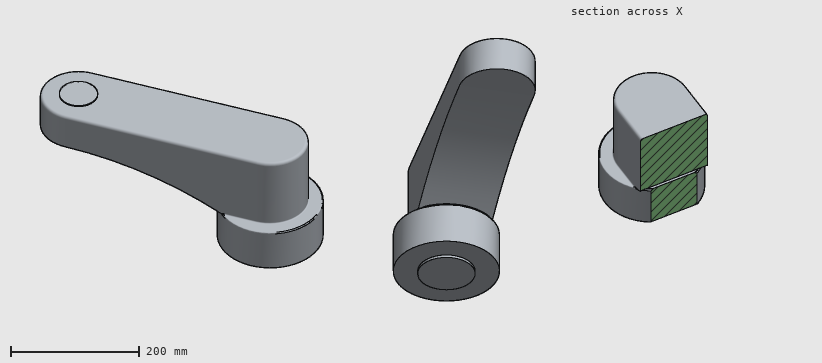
import cadquery as cq
import math

flange_diameter = 166.0
flange_height = 70.5
flange_edge_radius = 2.0
spigot_diameter = 90.0
spigot_height = 4.5

arm_width = 120.0
arm_root_height = arm_width
arm_end_height = arm_root_height / 2
arm_edge_radius = 5.0
underside_radius = 600.0
root_fillet_radius = 2.0

cap_diameter = 60.0
cap_height = 2.0

overall_length = 463.0
axis_distance = overall_length - (arm_width + flange_diameter) / 2
arm_underside = arm_root_height - arm_end_height
sweep_run = math.sqrt(underside_radius**2 - (underside_radius - arm_underside) ** 2)


def disc(x, bottom, diameter, height):
    """Upright disc centred on the arm's centre line."""
    return cq.Workplane("XY", origin=(x, 0, bottom)).circle(diameter / 2).extrude(height)


def round_ended_bar(height):
    """Bar with the arm's full outline, standing on the flange top."""
    outline = cq.Workplane("XY").center(-axis_distance / 2, 0)
    return outline.slot2D(axis_distance + arm_width, arm_width).extrude(height)


def make_arm():
    """Round-ended bar with its underside swept down to the flange."""
    bar = round_ended_bar(arm_root_height)
    bar = bar.faces(">Z").edges().fillet(arm_edge_radius)

    half_angle = math.asin(sweep_run / underside_radius) / 2
    arc_middle = (
        -axis_distance + underside_radius * math.sin(half_angle),
        arm_underside - underside_radius * (1 - math.cos(half_angle)),
    )
    clear_of_end = -axis_distance - arm_width
    below_arm = (
        cq.Workplane("XZ")
        .moveTo(clear_of_end, arm_underside)
        .lineTo(-axis_distance, arm_underside)
        .threePointArc(arc_middle, (-axis_distance + sweep_run, 0))
        .lineTo(clear_of_end, 0)
        .close()
        .extrude(arm_width, both=True)
    )
    return bar.cut(below_arm)


def make_flange():
    """Base disc with a rounded top edge and a shallow spigot beneath it."""
    base = disc(0, -flange_height, flange_diameter, flange_height)
    base = base.faces(">Z").edges().fillet(flange_edge_radius)
    spigot = disc(0, -flange_height - spigot_height, spigot_diameter, spigot_height)
    return base.union(spigot)


def make_root_blend():
    """Concave fillet at the foot of the arm's walls, kept to the flat top of the flange."""
    bar = round_ended_bar(arm_end_height)
    plate_size = 3 * overall_length
    plate = cq.Workplane("XY").box(plate_size, plate_size, flange_height)
    plate = plate.translate((0, 0, -flange_height / 2))
    foot = cq.selectors.BoxSelector(
        (-overall_length, -arm_width, -root_fillet_radius),
        (overall_length, arm_width, root_fillet_radius),
    )
    blend = plate.union(bar).edges(foot).fillet(root_fillet_radius)
    flat_diameter = flange_diameter - 2 * flange_edge_radius
    return blend.intersect(disc(0, 0, flat_diameter, root_fillet_radius))


cap = disc(-axis_distance, arm_root_height, cap_diameter, cap_height)
result = make_flange().union(make_arm()).union(make_root_blend()).union(cap)